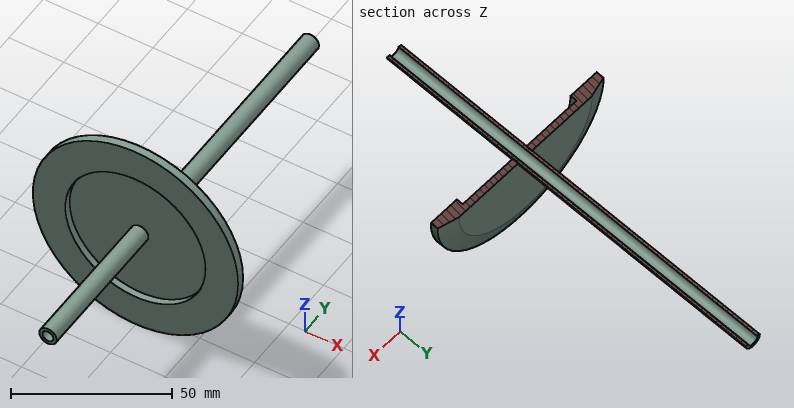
import cadquery as cq

tube_length = 152.4
tube_outer_diameter = 6.35
tube_bore_diameter = 3.95

flange_diameter = 75.0
flange_thickness = 5.0
rim_width = 3.0
rear_face_diameter = 60.0
recess_diameter = 51.2
recess_depth = 2.5
flange_front_to_tube_end = 50.8

flange_front_y = -tube_length / 2 + flange_front_to_tube_end


def make_tube():
    """Round tube, open at both ends."""
    return (
        cq.Workplane("XZ", origin=(0, tube_length / 2, 0))
        .circle(tube_outer_diameter / 2)
        .circle(tube_bore_diameter / 2)
        .extrude(tube_length)
    )


def make_flange():
    """Disc with a conical rear edge, a round front recess and a hole for the tube."""
    hole_radius = tube_outer_diameter / 2
    recess_radius = recess_diameter / 2
    rim_radius = flange_diameter / 2
    recess_floor_y = flange_front_y + recess_depth
    cone_start_y = flange_front_y + rim_width
    flange_rear_y = flange_front_y + flange_thickness

    return (
        cq.Workplane("XY")
        .moveTo(hole_radius, recess_floor_y)
        .lineTo(recess_radius, recess_floor_y)
        .lineTo(recess_radius, flange_front_y)
        .lineTo(rim_radius, flange_front_y)
        .lineTo(rim_radius, cone_start_y)
        .lineTo(rear_face_diameter / 2, flange_rear_y)
        .lineTo(hole_radius, flange_rear_y)
        .close()
        .revolve(360, (0, 0, 0), (0, 1, 0))
    )


tube = make_tube()
flange = make_flange()

result = cq.Compound.makeCompound([tube.val(), flange.val()])